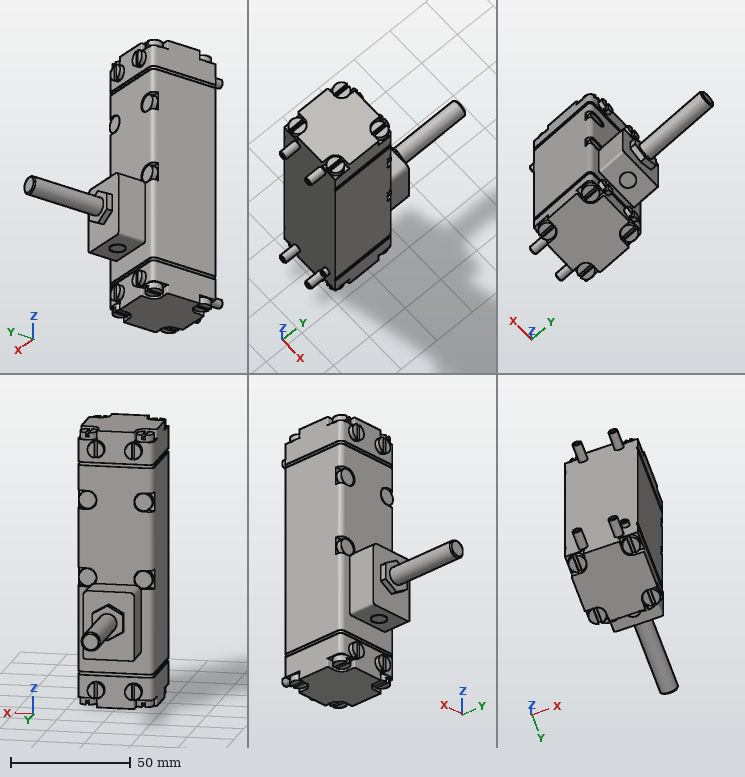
import cadquery as cq

WIDTH = 32.4
DEPTH = 32.2
HEIGHT = 119.0
OVERALL_DEPTH = 92.3
BACK_CORNER_RADIUS = 2.2

GROOVE_DEPTH = 0.3
GROOVE_WIDTH = 1.4
CAP_HEIGHT = 13.75

CAP_SCREW_X = 12.0
CAP_SCREW_EDGE = 3.75
CAP_SCREW_DIAMETER = 7.5
CAP_SCREW_HEAD = 3.0
CAP_POCKET_DIAMETER = 8.0
CAP_POCKET_DEPTH = 4.0
CAP_POCKET_FLARE = 0.4
CAP_SLOT_WIDTH = 1.4
CAP_SLOT_DEPTH = 1.8

MOUNT_X = 8.0
MOUNT_Z = 51.8
MOUNT_HEAD_DIAMETER = 7.0
MOUNT_HEAD_HEIGHT = 2.1
MOUNT_SLOT_WIDTH = 1.2
MOUNT_SLOT_DEPTH = 1.5
SHANK_DIAMETER = 4.0
SHANK_LENGTH = 8.3
SHANK_CHAMFER = 0.4

COVER_SCREW_X = 12.0
COVER_SCREW_LEVELS = (29.6, -3.7)
COVER_SCREW_DIAMETER = 7.5
COVER_POCKET_DIAMETER = 8.0
COVER_POCKET_DEPTH = 3.0
COVER_HEAD_RECESS = 0.4

PIN_X = 11.0
PIN_Z = -43.6
PIN_DIAMETER = 3.5
PIN_LENGTH = 2.0
PIN_TIP_DIAMETER = 2.6
PIN_TOTAL_LENGTH = 2.9
PIN_CONE_HEIGHT = 0.3
PIN_CONE_END_DIAMETER = 0.9

BOX_WIDTH = 22.0
BOX_DEPTH = 13.7
BOX_BOTTOM = -35.6
BOX_TOP = -6.2
BOX_TOP_RADIUS = 2.2
BOX_BOTTOM_RADIUS = 1.1
PLUG_DIAMETER = 7.0
PLUG_HEIGHT = 0.3
PLUG_FROM_BACK = 6.5

CABLE_Z = -19.1
CABLE_DIAMETER = 8.0
CABLE_CHAMFER = 0.6
NUT_ACROSS_CORNERS = 15.0
NUT_THICKNESS = 2.8
CABLE_END = OVERALL_DEPTH - SHANK_LENGTH

SIDES = (-1, 1)


def along_y(diameter, x, z, y_start, length):
    """Cylinder whose axis runs along +Y from y_start."""
    start = cq.Plane(origin=(x, y_start, z), xDir=(-1, 0, 0), normal=(0, 1, 0))
    return cq.Workplane(start).circle(diameter / 2).extrude(length)


def block(x_range, y_range, z_range):
    """Box between the given limits."""
    limits = (x_range, y_range, z_range)
    sizes = [high - low for low, high in limits]
    corner = tuple(low for low, high in limits)
    return cq.Workplane("XY").box(*sizes, centered=False).translate(corner)


def around(middle, width):
    """Limits of a span of the given width centred on middle."""
    return (middle - width / 2, middle + width / 2)


def housing_block(width, depth, corner_radius):
    """Square block with its two upright back edges rounded."""
    blank = cq.Workplane("XY").box(width, depth, HEIGHT, centered=(True, False, True))
    return blank.edges("|Z and >Y").fillet(corner_radius)


def joint_grooves():
    """Shallow grooves around the sides and back, one below or above each cap."""
    core_radius = BACK_CORNER_RADIUS - GROOVE_DEPTH
    core = housing_block(WIDTH - 2 * GROOVE_DEPTH, DEPTH - GROOVE_DEPTH, core_radius)
    rings = cq.Workplane("XY")
    for end in SIDES:
        level = end * (HEIGHT / 2 - CAP_HEIGHT - GROOVE_WIDTH / 2)
        slab = block((-WIDTH, WIDTH), (0, 2 * DEPTH), around(level, GROOVE_WIDTH))
        rings = rings.add(slab.cut(core))
    return rings.combine()


def cap_pocket():
    """Corner pocket around a screw axis on Z, open to +X and -Y with flared mouths."""
    radius = CAP_POCKET_DIAMETER / 2
    side_face = WIDTH / 2 - CAP_SCREW_X
    front_face = -CAP_SCREW_EDGE
    flared = radius + CAP_POCKET_FLARE
    outline = (
        cq.Workplane("XY", origin=(0, 0, HEIGHT / 2 - CAP_POCKET_DEPTH))
        .moveTo(side_face, flared)
        .radiusArc((side_face - CAP_POCKET_FLARE, radius), CAP_POCKET_FLARE)
        .lineTo(0, radius)
        .radiusArc((-radius, 0), -radius)
        .lineTo(-radius, front_face + CAP_POCKET_FLARE)
        .radiusArc((-flared, front_face), CAP_POCKET_FLARE)
        .lineTo(side_face, front_face)
        .close()
    )
    return outline.extrude(CAP_POCKET_DEPTH)


def cap_screw():
    """Slotted screw head standing on the pocket floor, axis on Z."""
    floor = HEIGHT / 2 - CAP_POCKET_DEPTH
    top = floor + CAP_SCREW_HEAD
    base = cq.Workplane("XY", origin=(0, 0, floor))
    head = base.circle(CAP_SCREW_DIAMETER / 2).extrude(CAP_SCREW_HEAD)
    slot = block(
        around(0, CAP_SLOT_WIDTH),
        around(0, CAP_SCREW_DIAMETER),
        (top - CAP_SLOT_DEPTH, top),
    )
    return head.cut(slot)


def at_cap_corners(feature):
    """The eight copies of a feature modelled on Z for the upper, +X, front corner."""
    offset_y = DEPTH / 2 - CAP_SCREW_EDGE
    front_right = feature.translate((CAP_SCREW_X, -offset_y, 0))
    right = [front_right, front_right.mirror("XZ")]
    upper = right + [copy.mirror("YZ") for copy in right]
    both_ends = upper + [copy.mirror("XY") for copy in upper]
    return [copy.translate((0, DEPTH / 2, 0)) for copy in both_ends]


def mounting_screw(x, z):
    """Slotted head on the back face and chamfered shank out of the front face."""
    top = DEPTH + MOUNT_HEAD_HEIGHT
    head = along_y(MOUNT_HEAD_DIAMETER, x, z, DEPTH, MOUNT_HEAD_HEIGHT)
    slot = block(
        around(x, MOUNT_SLOT_WIDTH),
        (top - MOUNT_SLOT_DEPTH, top),
        around(z, MOUNT_HEAD_DIAMETER),
    )
    shank = along_y(SHANK_DIAMETER, x, z, -SHANK_LENGTH, SHANK_LENGTH)
    shank = shank.faces("<Y").chamfer(SHANK_CHAMFER)
    return head.cut(slot), shank


def cover_pocket(side, z):
    """Round pocket in the back face, running out through the side face."""
    floor = DEPTH - COVER_POCKET_DEPTH
    x_limits = sorted((side * COVER_SCREW_X, side * WIDTH))
    runout = block(x_limits, (floor, DEPTH), around(z, COVER_POCKET_DIAMETER))
    return along_y(COVER_POCKET_DIAMETER, side * COVER_SCREW_X, z, floor, COVER_POCKET_DEPTH).union(runout)


def cover_screw(side, z):
    """Plain screw head standing on the floor of its pocket."""
    floor = DEPTH - COVER_POCKET_DEPTH
    height = COVER_POCKET_DEPTH - COVER_HEAD_RECESS
    return along_y(COVER_SCREW_DIAMETER, side * COVER_SCREW_X, z, floor, height)


def locating_pin():
    """Stepped pin on the front face, ending in a flat cone."""
    tip = along_y(PIN_TIP_DIAMETER, PIN_X, PIN_Z, -PIN_TOTAL_LENGTH, PIN_TOTAL_LENGTH)
    cone_width = (PIN_TIP_DIAMETER - PIN_CONE_END_DIAMETER) / 2
    tip = tip.faces("<Y").chamfer(PIN_CONE_HEIGHT, cone_width)
    return along_y(PIN_DIAMETER, PIN_X, PIN_Z, -PIN_LENGTH, PIN_LENGTH).union(tip)


def outlet_box():
    """Cable box with rounded edges and a low round plug underneath."""
    y_limits = (DEPTH, DEPTH + BOX_DEPTH)
    box = block(around(0, BOX_WIDTH), y_limits, (BOX_BOTTOM, BOX_TOP))
    box = box.edges("|Y and >Z").fillet(BOX_TOP_RADIUS)
    box = box.edges("|Y and <Z").fillet(BOX_BOTTOM_RADIUS)
    plug_centre = (0, DEPTH + PLUG_FROM_BACK, BOX_BOTTOM)
    plug = cq.Workplane("XY", origin=plug_centre).circle(PLUG_DIAMETER / 2).extrude(-PLUG_HEIGHT)
    return box.union(plug)


def cable():
    """Hexagonal gland nut, corners up and down, with the cable through it."""
    nut_start = DEPTH + BOX_DEPTH
    nut_plane = cq.Plane(origin=(0, nut_start, CABLE_Z), xDir=(0, 0, 1), normal=(0, 1, 0))
    nut = cq.Workplane(nut_plane).polygon(6, NUT_ACROSS_CORNERS).extrude(NUT_THICKNESS)
    lead = along_y(CABLE_DIAMETER, 0, CABLE_Z, nut_start, CABLE_END - nut_start)
    return nut.union(lead.faces(">Y").chamfer(CABLE_CHAMFER))


body = housing_block(WIDTH, DEPTH, BACK_CORNER_RADIUS).cut(joint_grooves())
for pocket in at_cap_corners(cap_pocket()):
    body = body.cut(pocket)
for screw in at_cap_corners(cap_screw()):
    body = body.union(screw)

for side in SIDES:
    for level in COVER_SCREW_LEVELS:
        body = body.cut(cover_pocket(side, level)).union(cover_screw(side, level))
    for end in SIDES:
        mount_head, mount_shank = mounting_screw(side * MOUNT_X, end * MOUNT_Z)
        body = body.union(mount_head).union(mount_shank)

result = body.union(locating_pin()).union(outlet_box()).union(cable())